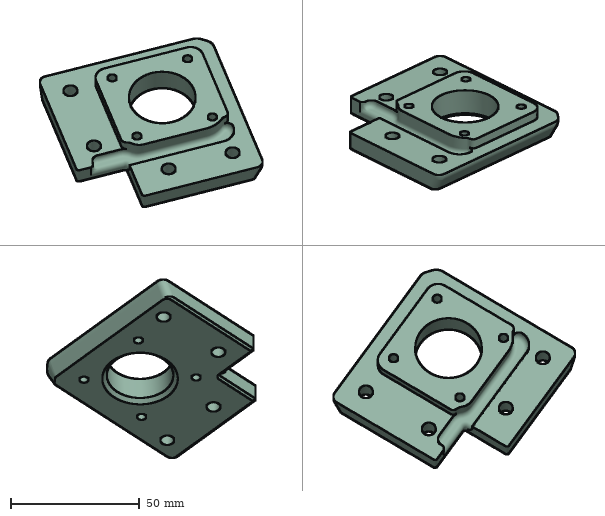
import cadquery as cq
import math


plate_left = -27.5
plate_right = 41.95
plate_back = 28.3
plate_length = 70.4
plate_front = plate_back - plate_length
plate_height = 7.95
notch_x = 21.75
notch_y = -21.8
slant_x = 4.0
slant_y = 5.0
slant_radius = 4.7
corner_radius = 3.0
small_radius = 1.0
bottom_chamfer = 1.0

undercut_height = 6.0
undercut_width = undercut_height / 2
undercut_bend_radius = 4.0

boss_left = -21.0
boss_half_length = 21.9
boss_height = 4.0
boss_radius = 5.0
boss_groove_radius = 2.0

bore_diameter = 26.0
bore_chamfer = 1.75
screw_diameter = 3.5
screw_spacing = 31.0
mount_diameter = 5.4
mount_points = [(31.95, 18.4), (31.95, -7.9), (-17.5, -31.95), (11.8, -31.95)]

groove_depth = 3.0
groove_radius = 2.0
groove_left = 20.3
groove_right = 25.4
groove_back = 22.8
groove_back_radius = 6.0
groove_cap_radius = 2.45
groove_hip_back_radius = 10.55
groove_hip_front_radius = 5.7
groove_hip_front_y = -14.2
groove_bend_radius = 6.35
groove_front_left = 16.75
groove_front = -35.05
groove_front_radius = 3.0
groove_flare_reach = 1.6
groove_flare_radius = 1.4
groove_flare_angle = math.radians(60)
groove_flare_length = 1.4

total_height = plate_height + boss_height
floor_z = plate_height - groove_depth
overshoot = 14.1
clear = 0.7
tiny = 0.01


def box(left, right, front, back, bottom, top):
    size = (right - left, back - front, top - bottom)
    return cq.Workplane("XY").box(*size, centered=False).translate((left, front, bottom))


def inside(low, high):
    """Select edges that lie wholly between two opposite corners."""
    return cq.selectors.BoxSelector(low, high, boundingbox=True)


def column(x, y, reach):
    """Select edges that stay close to a vertical line through (x, y)."""
    return inside((x - reach, y - reach, -clear), (x + reach, y + reach, total_height))


def make_undercut_block():
    """Block undercut on all sides, with a slanted back left corner."""
    right = plate_right + overshoot
    front = plate_front - overshoot
    upper = (
        cq.Workplane("XY")
        .workplane(offset=undercut_height)
        .moveTo(plate_left, front)
        .lineTo(right, front)
        .lineTo(right, plate_back)
        .lineTo(plate_left + slant_x, plate_back)
        .lineTo(plate_left, plate_back - slant_y)
        .close()
        .extrude(plate_height - undercut_height)
    )
    upper = upper.edges(column(plate_left, plate_back, slant_y + tiny)).edges("|Z").fillet(slant_radius)

    angle = math.degrees(math.atan2(undercut_width, undercut_height))
    outline = upper.faces("<Z").wires().val()
    lower = cq.Solid.extrudeLinear(outline, [], cq.Vector(0, 0, -undercut_height), angle)
    block = upper.union(cq.Workplane(lower))

    bend = inside(
        (plate_left - clear, front - clear, undercut_height - tiny),
        (right + clear, plate_back + clear, undercut_height + tiny),
    )
    return block.edges(bend).fillet(undercut_bend_radius)


def make_plate():
    plate = make_undercut_block()
    plate = plate.intersect(box(plate_left, plate_right, plate_front, plate_back, 0, plate_height))
    plate = plate.cut(box(notch_x, plate_right, plate_front, notch_y, 0, plate_height))

    for x, y in [(notch_x, plate_front), (notch_x, notch_y), (plate_right, notch_y)]:
        plate = plate.edges(column(x, y, tiny)).fillet(small_radius)

    front_edge = inside((plate_left - clear, plate_front - tiny, -tiny), (notch_x, plate_front + tiny, tiny))
    plate = plate.edges(front_edge).chamfer(bottom_chamfer)

    reach = undercut_width + tiny
    for x, y in [(plate_left, plate_front), (plate_right, plate_back)]:
        plate = plate.edges(column(x, y, reach)).fillet(corner_radius)
    return plate


def make_boss(groove):
    """Boss whose right side is the wall of the groove."""
    over_groove = groove_left + groove_radius
    boss = box(boss_left, over_groove, -boss_half_length, boss_half_length, plate_height, total_height)
    boss = boss.edges("|Z and <X").fillet(boss_radius).cut(groove)
    for y in (-boss_half_length, boss_half_length):
        low = (groove_front_left - clear, y - tiny, plate_height - clear)
        high = (groove_left, y + tiny, total_height + clear)
        boss = boss.edges(inside(low, high)).edges("|Z").fillet(boss_groove_radius)
    return boss


def make_groove_outline():
    """Outline of the cable groove, which is open towards the notch."""
    cap_x = groove_right - groove_back_radius
    cap_y = groove_back - groove_cap_radius
    hip_back_x = groove_left - groove_hip_back_radius
    reach = groove_hip_back_radius + groove_cap_radius
    hip_back_y = cap_y - math.sqrt(reach**2 - (cap_x - hip_back_x) ** 2)
    hip_back_angle = math.atan2(cap_y - hip_back_y, cap_x - hip_back_x)

    hip_front_x = groove_left - groove_hip_front_radius
    bend_x = groove_front_left + groove_bend_radius
    reach = groove_hip_front_radius + groove_bend_radius
    bend_y = groove_hip_front_y - math.sqrt(reach**2 - (bend_x - hip_front_x) ** 2)
    hip_front_angle = math.atan2(bend_y - groove_hip_front_y, bend_x - hip_front_x)

    def around(x, y, radius, angle):
        return (x + radius * math.cos(angle), y + radius * math.sin(angle))

    def hip_back(angle):
        return around(hip_back_x, hip_back_y, groove_hip_back_radius, angle)

    def hip_front(angle):
        return around(hip_front_x, groove_hip_front_y, groove_hip_front_radius, angle)

    def bend(angle):
        return around(bend_x, bend_y, groove_bend_radius, angle)

    quarter = math.pi / 2
    eighth = math.pi / 4
    back_center_y = groove_back - groove_back_radius
    front_center_x = groove_front_left + groove_front_radius
    front_center_y = groove_front + groove_front_radius
    flare_x = notch_x - groove_flare_reach
    flare_y = groove_front - groove_flare_radius
    cap_mid = (quarter + hip_back_angle + math.pi) / 2
    bend_mid = hip_front_angle / 2 + math.pi
    return (
        cq.Workplane("XY")
        .moveTo(groove_right, back_center_y)
        .threePointArc(around(cap_x, back_center_y, groove_back_radius, eighth), (cap_x, groove_back))
        .threePointArc(around(cap_x, cap_y, groove_cap_radius, cap_mid), hip_back(hip_back_angle))
        .threePointArc(hip_back(hip_back_angle / 2), hip_back(0))
        .lineTo(*hip_front(0))
        .threePointArc(hip_front(hip_front_angle / 2), hip_front(hip_front_angle))
        .threePointArc(bend(bend_mid), bend(math.pi))
        .lineTo(groove_front_left, front_center_y)
        .threePointArc(
            around(front_center_x, front_center_y, groove_front_radius, 5 * eighth),
            (front_center_x, groove_front),
        )
        .lineTo(flare_x, groove_front)
        .threePointArc(
            around(flare_x, flare_y, groove_flare_radius, quarter - groove_flare_angle / 2),
            around(flare_x, flare_y, groove_flare_radius, quarter - groove_flare_angle),
        )
        .polarLine(groove_flare_length, -math.degrees(groove_flare_angle))
        .lineTo(groove_right, flare_y)
        .close()
    )


def make_groove():
    """Body that the groove removes; it also reaches down into the notch."""
    ground = box(plate_left, plate_right, plate_front, plate_back, 0, floor_z)
    ground = ground.cut(box(notch_x, plate_right, plate_front, notch_y, 0, floor_z))
    ground = ground.edges(column(notch_x, notch_y, tiny)).fillet(small_radius)
    open_edge = inside(
        (notch_x - tiny, plate_front - clear, floor_z - tiny),
        (plate_right + clear, notch_y + tiny, floor_z + tiny),
    )
    ground = ground.edges(open_edge).fillet(groove_radius)

    groove = make_groove_outline().extrude(total_height).cut(ground)
    foot = inside(
        (groove_right - tiny, notch_y, floor_z - tiny), (groove_right + tiny, groove_back, floor_z + tiny)
    )
    return groove.edges(foot).fillet(groove_radius)


def cylinders(points, diameter):
    return cq.Workplane("XY").pushPoints(points).circle(diameter / 2).extrude(total_height)


def cut_holes(body):
    half = screw_spacing / 2
    screw_points = [(x, y) for x in (-half, half) for y in (-half, half)]
    body = body.cut(cylinders(screw_points, screw_diameter))
    body = body.cut(cylinders(mount_points, mount_diameter))
    body = body.cut(cylinders([(0, 0)], bore_diameter))

    bore_radius = bore_diameter / 2 + tiny
    bore_edge = inside((-bore_radius, -bore_radius, -tiny), (bore_radius, bore_radius, tiny))
    largest = cq.selectors.RadiusNthSelector(-1)
    return body.edges(bore_edge).edges(largest).chamfer(bore_chamfer)


groove = make_groove()
body = make_plate().cut(groove).union(make_boss(groove))
result = cut_holes(body)